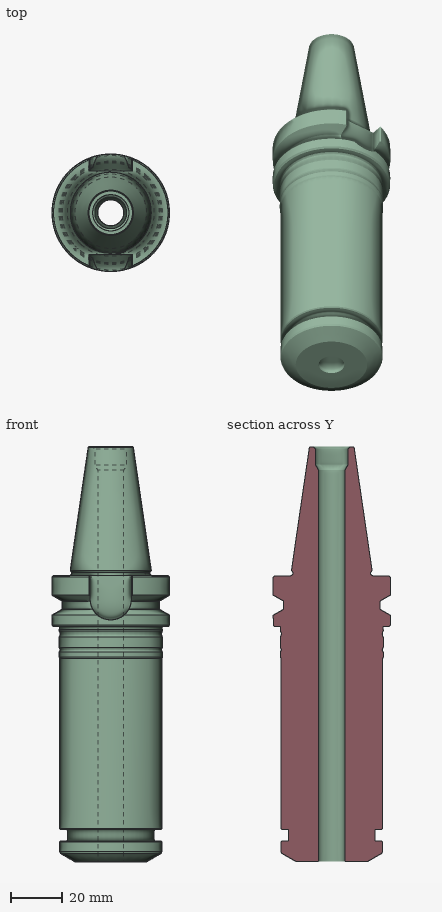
import cadquery as cq
import math

taper_length = 48.4
projection = 114.0

gauge_radius = 31.75 / 2
taper_rate = 7 / 24
tip_radius = gauge_radius - taper_length * taper_rate / 2
tip_chamfer = 0.3

relief_radius = 15.2
relief_taper_end = -0.9

flange_radius = 23.0
flange_top = -2.0
flange_bottom = -22.0
relief_fillet = relief_taper_end - flange_top
flange_chamfer = 0.6
gripper_center = -13.6
gripper_opening = 7.8
gripper_radius = 19.0
gripper_flank_angle = 30.0
gripper_root_fillet = 0.2
gripper_flank_height = (flange_radius - gripper_radius) * math.tan(math.radians(gripper_flank_angle))
gripper_upper_edge = gripper_center + gripper_opening / 2
gripper_lower_edge = gripper_center - gripper_opening / 2

body_radius = 20.0
band_radius = 20.25
band_bevel = 0.5
bands = [(-23.2, -23.6), (-26.1, -30.1), (-32.0, -33.9)]
band_groove_sag = 0.15

end_groove_radius = 17.0
end_groove_top = -101.4
end_groove_bottom = -105.8
end_groove_chamfer = 0.4
end_groove_root_fillet = 0.4
nose_bottom_radius = 14.0
nose_half_angle = 60.0
nose_edge_radius = 19.7
nose_edge_bevel_height = 0.75
nose_height = (nose_edge_radius - nose_bottom_radius) / math.tan(math.radians(nose_half_angle))
nose_top = nose_height - projection

slot_width = 16.1
slot_floor = 16.3
slot_round_center = -11.3
slot_corner_fillet = 0.6
slot_edge_chamfer = 0.5

mouth_radius = 14.2 / 2
counterbore_radius = 12.5 / 2
counterbore_depth = 7.1
thread_radius = 10.11 / 2
thread_lead_half_angle = 30.0

cutter_clearance = 1.0
selection_margin = 0.01


def revolve_profile(points):
    """Turn a closed (radius, height) outline about the Z axis."""
    return cq.Workplane("XZ").polyline(points).close().revolve(360, (0, 0), (0, 1))


def shank_and_flange():
    relief_center = (relief_radius + relief_fillet, relief_taper_end)
    diagonal = relief_fillet * math.sqrt(0.5)
    profile = (
        cq.Workplane("XZ")
        .moveTo(0, taper_length)
        .lineTo(tip_radius - tip_chamfer, taper_length)
        .lineTo(tip_radius + tip_chamfer * taper_rate / 2, taper_length - tip_chamfer)
        .lineTo(gauge_radius, 0)
        .lineTo(relief_radius, relief_taper_end)
        .threePointArc(
            (relief_center[0] - diagonal, relief_center[1] - diagonal),
            (relief_center[0], flange_top),
        )
        .lineTo(flange_radius - flange_chamfer, flange_top)
        .lineTo(flange_radius, flange_top - flange_chamfer)
        .lineTo(flange_radius, flange_bottom + flange_chamfer)
        .lineTo(flange_radius - flange_chamfer, flange_bottom)
        .lineTo(0, flange_bottom)
        .close()
    )
    return profile.revolve(360, (0, 0), (0, 1))


def ring_groove(outline, root_radius, root_fillet):
    """Ring-shaped cutter with its two inner edges rounded."""
    reach = root_radius + selection_margin
    root_zone = cq.selectors.BoxSelector((-reach, -reach, -projection), (reach, reach, 0), boundingbox=True)
    return revolve_profile(outline).edges(root_zone).fillet(root_fillet)


def gripper_groove():
    upper_root = gripper_upper_edge - gripper_flank_height
    lower_root = gripper_lower_edge + gripper_flank_height
    outline = [
        (gripper_radius, upper_root),
        (flange_radius, gripper_upper_edge),
        (flange_radius + cutter_clearance, gripper_upper_edge),
        (flange_radius + cutter_clearance, gripper_lower_edge),
        (flange_radius, gripper_lower_edge),
        (gripper_radius, lower_root),
    ]
    return ring_groove(outline, gripper_radius, gripper_root_fillet)


def end_groove():
    chamfer_start = body_radius - end_groove_chamfer
    outline = [
        (end_groove_radius, end_groove_top),
        (chamfer_start, end_groove_top),
        (body_radius, end_groove_top + end_groove_chamfer),
        (body_radius + cutter_clearance, end_groove_top + end_groove_chamfer),
        (body_radius + cutter_clearance, end_groove_bottom - end_groove_chamfer),
        (body_radius, end_groove_bottom - end_groove_chamfer),
        (chamfer_start, end_groove_bottom),
        (end_groove_radius, end_groove_bottom),
    ]
    return ring_groove(outline, end_groove_radius, end_groove_root_fillet)


def rounded_groove(profile, radius, top, bottom):
    """Continue the outline down a shallow arc from (radius, top) to (radius, bottom)."""
    return profile.threePointArc((radius - band_groove_sag, (top + bottom) / 2), (radius, bottom))


def body():
    profile = cq.Workplane("XZ").moveTo(0, flange_bottom).lineTo(band_radius, flange_bottom)
    profile = rounded_groove(profile, band_radius, flange_bottom, bands[0][0])
    for (_, bottom), (next_top, _) in zip(bands, bands[1:]):
        groove_top = bottom - band_bevel
        groove_bottom = next_top + band_bevel
        profile = profile.lineTo(band_radius, bottom).lineTo(body_radius, groove_top)
        profile = rounded_groove(profile, body_radius, groove_top, groove_bottom)
        profile = profile.lineTo(band_radius, next_top)
    last_bottom = bands[-1][1]
    profile = profile.lineTo(band_radius, last_bottom).lineTo(body_radius, last_bottom - band_bevel)
    profile = (
        profile
        .lineTo(body_radius, nose_top + nose_edge_bevel_height)
        .lineTo(nose_edge_radius, nose_top)
        .lineTo(nose_bottom_radius, -projection)
        .lineTo(0, -projection)
        .close()
    )
    return profile.revolve(360, (0, 0), (0, 1))


def bore():
    mouth_chamfer = mouth_radius - counterbore_radius
    lead_height = (counterbore_radius - thread_radius) / math.tan(math.radians(thread_lead_half_angle))
    counterbore_floor = taper_length - counterbore_depth
    return revolve_profile([
        (0, taper_length),
        (mouth_radius, taper_length),
        (counterbore_radius, taper_length - mouth_chamfer),
        (counterbore_radius, counterbore_floor),
        (thread_radius, counterbore_floor - lead_height),
        (thread_radius, -projection),
        (0, -projection),
    ])


def slot_edge_wedge(side):
    """Cutter for the chamfer where a slot wall meets the outside of the flange."""
    inner_x = slot_width / 2
    outer_x = inner_x + slot_edge_chamfer
    wall_end_y = math.sqrt(flange_radius**2 - inner_x**2)
    rim_y = math.sqrt(flange_radius**2 - outer_x**2)
    return (
        cq.Workplane("XY", origin=(0, 0, gripper_center))
        .polyline([
            (side * inner_x, slot_edge_chamfer - wall_end_y),
            (side * outer_x, -rim_y),
            (side * outer_x, -flange_radius),
            (side * inner_x, -flange_radius),
        ])
        .close()
        .extrude(flange_top - gripper_center)
    )


def drive_slot():
    """Cutter for the slot on the -Y side: flat floor, round lower end, chamfered rims."""
    half_width = slot_width / 2
    rim_half_width = half_width + slot_edge_chamfer
    pocket = (
        cq.Workplane("XZ", origin=(0, -slot_floor, 0))
        .moveTo(-half_width, flange_top)
        .lineTo(-half_width, slot_round_center)
        .threePointArc((0, slot_round_center - half_width), (half_width, slot_round_center))
        .lineTo(half_width, flange_top)
        .close()
        .extrude(flange_radius - slot_floor)
        .faces(">Y")
        .edges("not >Z")
        .fillet(slot_corner_fillet)
    )
    top_rim = (
        cq.Workplane("XZ", origin=(0, -slot_floor, 0))
        .polyline([
            (-rim_half_width, flange_top),
            (-half_width, flange_top - slot_edge_chamfer),
            (half_width, flange_top - slot_edge_chamfer),
            (rim_half_width, flange_top),
        ])
        .close()
        .extrude(flange_radius - slot_floor)
    )
    return pocket.union(top_rim).union(slot_edge_wedge(1)).union(slot_edge_wedge(-1))


result = shank_and_flange().union(body()).cut(gripper_groove()).cut(end_groove()).cut(bore())
for angle in (0, 180):
    result = result.cut(drive_slot().rotate((0, 0, 0), (0, 0, 1), angle))